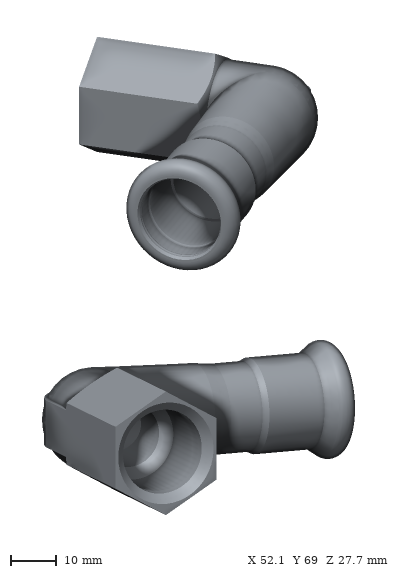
import cadquery as cq
import math


hex_flats = 24.0
hex_corner_radius = hex_flats / math.sqrt(3)
hex_start = -39.0
hex_length = 29.1
hex_end = hex_start + hex_length
corner_chamfer_length = 1.65
corner_chamfer_depth = corner_chamfer_length * math.tan(math.radians(60))
socket_radius = 18.8 / 2
socket_mouth_radius = 22.7 / 2
socket_mouth_depth = socket_mouth_radius - socket_radius
socket_depth = 17.95
cross_bore_radius = 14.0 / 2
socket_cone_length = socket_radius - cross_bore_radius

elbow_radius = 11.5
elbow_y = hex_flats / 2 - elbow_radius
pad_half_width = 5.25
pad_bend_middle = (4.7, 10.35)
pad_bend_end = (8.15, 7.25)

overall_length = 69.0
leg_end = hex_flats / 2 - overall_length
taper_end = -23.9
neck_start = -27.8
neck_end = -35.3
sleeve_start = -36.7
sleeve_end = -49.8
taper_end_radius = 10.5
neck_radius = 20.0 / 2
sleeve_radius = 21.3 / 2

bead_tube_radius = 2.75
bead_centre_radius = 10.35
bead_centre_y = leg_end + bead_tube_radius
bead_flank_radius = 12.5
bead_flank_y = bead_centre_y + math.sqrt(bead_tube_radius**2 - (bead_flank_radius - bead_centre_radius)**2)

bore_radius = 17.0 / 2
bore_dome_y = cross_bore_radius - bore_radius
tube_stop = -36.7
tube_seat_radius = 18.2 / 2
tube_entry_radius = 18.6 / 2
tube_entry_start = -50.4
entry_cone_length = 0.7
mouth_radius = 19.45 / 2
mouth_depth = 0.7

seal_inner_radius = 9.25
seal_section_radius = 1.25
seal_y = -55.4
seal_centre_radius = seal_inner_radius + seal_section_radius


def revolve_about_x(points):
    """Revolve a closed (x, radius) outline about the X axis."""
    return cq.Workplane("XY").polyline(points).close().revolve(360, (0, 0, 0), (1, 0, 0))


def revolve_about_y(outline):
    """Revolve a closed (radius, y) outline about the Y axis."""
    return outline.close().revolve(360, (0, 0, 0), (0, 1, 0))


def make_hex():
    prism = (
        cq.Workplane("YZ", origin=(hex_start, 0, 0))
        .polygon(6, 2 * hex_corner_radius)
        .extrude(hex_length)
        .rotate((0, 0, 0), (1, 0, 0), 30)
    )
    envelope = revolve_about_x([
        (hex_start, 0),
        (hex_start, hex_corner_radius),
        (hex_end - corner_chamfer_length, hex_corner_radius),
        (hex_end, hex_corner_radius - corner_chamfer_depth),
        (hex_end, 0),
    ])
    return prism.intersect(envelope)


def make_bend():
    """Round arm from the hex to the bend, closed by a ball at the corner."""
    arm_start = hex_end - corner_chamfer_length
    arm = cq.Workplane("YZ", origin=(arm_start, elbow_y, 0)).circle(elbow_radius).extrude(-arm_start)
    ball = cq.Workplane("XY").sphere(elbow_radius).translate((0, elbow_y, 0))
    return arm.union(ball)


def make_pad():
    """Pad with a flat back along the arm that curves down around the bend."""
    return (
        cq.Workplane("XY", origin=(0, 0, -pad_half_width))
        .moveTo(hex_end - corner_chamfer_length, pad_bend_end[1])
        .lineTo(hex_end - corner_chamfer_length, hex_flats / 2)
        .lineTo(0, hex_flats / 2)
        .threePointArc(pad_bend_middle, pad_bend_end)
        .lineTo(0, pad_bend_end[1])
        .close()
        .extrude(2 * pad_half_width)
    )


def make_leg():
    return revolve_about_y(
        cq.Workplane("XY")
        .moveTo(0, elbow_y)
        .lineTo(elbow_radius, elbow_y)
        .lineTo(taper_end_radius, taper_end)
        .lineTo(neck_radius, neck_start)
        .lineTo(neck_radius, neck_end)
        .lineTo(sleeve_radius, sleeve_start)
        .lineTo(sleeve_radius, sleeve_end)
        .lineTo(bead_flank_radius, bead_flank_y)
        .threePointArc((bead_centre_radius + bead_tube_radius, bead_centre_y), (bead_centre_radius, leg_end))
        .lineTo(0, leg_end)
    )


def make_socket_bore():
    cone_start = hex_start + socket_depth
    return revolve_about_x([
        (hex_start, 0),
        (hex_start, socket_mouth_radius),
        (hex_start + socket_mouth_depth, socket_radius),
        (cone_start, socket_radius),
        (cone_start + socket_cone_length, cross_bore_radius),
        (0, cross_bore_radius),
        (0, 0),
    ])


def make_leg_bore():
    """Stepped tube bore with a domed inner end."""
    dome_angle = math.radians(45)
    dome_middle = (bore_radius * math.cos(dome_angle), bore_dome_y + bore_radius * math.sin(dome_angle))
    return revolve_about_y(
        cq.Workplane("XY")
        .moveTo(0, bore_dome_y + bore_radius)
        .threePointArc(dome_middle, (bore_radius, bore_dome_y))
        .lineTo(bore_radius, tube_stop)
        .lineTo(tube_seat_radius, tube_stop)
        .lineTo(tube_seat_radius, tube_entry_start)
        .lineTo(tube_entry_radius, tube_entry_start - entry_cone_length)
        .lineTo(tube_entry_radius, leg_end + mouth_depth)
        .lineTo(mouth_radius, leg_end)
        .lineTo(0, leg_end)
    )


def make_seal():
    return (
        cq.Workplane("XY")
        .center(seal_centre_radius, seal_y)
        .circle(seal_section_radius)
        .revolve(360, (-seal_centre_radius, 0, 0), (-seal_centre_radius, 1, 0))
    )


seal = make_seal()
fitting = make_hex().union(make_bend()).union(make_pad()).union(make_leg())
fitting = fitting.cut(make_socket_bore()).cut(make_leg_bore()).cut(seal)

result = cq.Compound.makeCompound([fitting.val(), seal.val()])